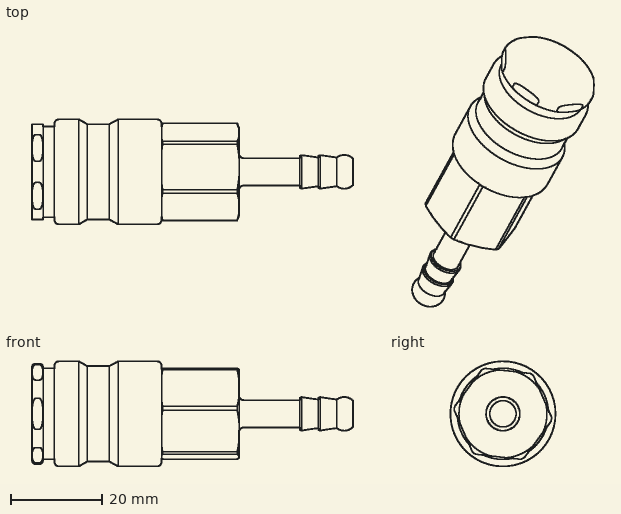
import cadquery as cq
import math

LENGTH = 70.55

FLANGE_DIAMETER = 22.1
FLANGE_THICKNESS = 2.5
FLANGE_FILLET = 0.85
FLANGE_ACROSS_FLATS = 21.0

CORE_DIAMETER = 20.05

SLEEVE_START = 4.95
SLEEVE_END = 28.5
SLEEVE_DIAMETER = 23.15
SLEEVE_FILLET = 1.05
GROOVE_DIAMETER = 21.0
GROOVE_TOP_START = 10.3
GROOVE_FLOOR_START = 12.1
GROOVE_FLOOR_END = 17.0
GROOVE_TOP_END = 19.0

HEX_END = 45.5
HEX_ACROSS_FLATS = 19.0
HEX_CORNER_DIAMETER = 21.45
HEX_TURN = 6.4
HEX_FRONT_FACE_DIAMETER = 20.05
HEX_FRONT_CHAMFER = 0.2
HEX_REAR_FACE_DIAMETER = 19.3
HEX_REAR_CHAMFER = 0.4

STEM_DIAMETER = 6.1
STEM_ROOT_FILLET = 1.0
BARB_STARTS = (58.85, 62.9)
BULB_START = 66.95
BARB_DIAMETER = 7.4
BARB_LIP_DIAMETER = 7.05
BARB_LIP_LENGTH = 0.4
BARB_TAIL_DIAMETER = 6.35
BULB_DIAMETER = 7.5
BULB_TIP_DIAMETER = 5.8


def revolve_about_x(profile):
    """Turn a closed (x, radius) profile about the X axis."""
    return profile.close().revolve(360, (0, 0, 0), (1, 0, 0))


def disc(start, end, diameter):
    """Round disc on the axis between two X positions."""
    return cq.Workplane("YZ").workplane(offset=start).circle(diameter / 2).extrude(end - start)


def hex_prism(start, end, across_flats, turn):
    """Hexagonal prism with a corner on the Y axis, turned about X from +Y towards +Z."""
    across_corners = across_flats / math.cos(math.radians(30))
    prism = cq.Workplane("YZ").workplane(offset=start).polygon(6, across_corners).extrude(end - start)
    return prism.rotate((0, 0, 0), (1, 0, 0), turn)


def make_flange():
    """Filleted disc trimmed by a hexagon with one pair of flats facing +Y and -Y."""
    rim = disc(0, FLANGE_THICKNESS, FLANGE_DIAMETER).edges().fillet(FLANGE_FILLET)
    return rim.intersect(hex_prism(0, FLANGE_THICKNESS, FLANGE_ACROSS_FLATS, 30))


def make_hex_section():
    """Hexagon trimmed by a cylinder with conical ends, which chamfers its corners."""
    envelope = revolve_about_x(
        cq.Workplane("XY")
        .moveTo(SLEEVE_END, 0)
        .lineTo(SLEEVE_END, HEX_FRONT_FACE_DIAMETER / 2)
        .lineTo(SLEEVE_END + HEX_FRONT_CHAMFER, HEX_CORNER_DIAMETER / 2)
        .lineTo(HEX_END - HEX_REAR_CHAMFER, HEX_CORNER_DIAMETER / 2)
        .lineTo(HEX_END, HEX_REAR_FACE_DIAMETER / 2)
        .lineTo(HEX_END, 0)
    )
    return envelope.intersect(hex_prism(SLEEVE_END, HEX_END, HEX_ACROSS_FLATS, -HEX_TURN))


def make_stem():
    """Hose stem with a filleted root, two tapered barbs and a rounded bulb at the tip."""
    stem_radius = STEM_DIAMETER / 2
    barb_ends = BARB_STARTS[1:] + (BULB_START,)
    bulb_crest = (BULB_START + LENGTH) / 2

    profile = (
        cq.Workplane("XY")
        .moveTo(HEX_END, 0)
        .lineTo(HEX_END, stem_radius + STEM_ROOT_FILLET)
        .radiusArc((HEX_END + STEM_ROOT_FILLET, stem_radius), -STEM_ROOT_FILLET)
        .lineTo(BARB_STARTS[0], stem_radius)
    )
    for start, end in zip(BARB_STARTS, barb_ends):
        profile = (
            profile
            .lineTo(start, BARB_LIP_DIAMETER / 2)
            .lineTo(start + BARB_LIP_LENGTH, BARB_DIAMETER / 2)
            .lineTo(end, BARB_TAIL_DIAMETER / 2)
        )
    profile = (
        profile
        .threePointArc((bulb_crest, BULB_DIAMETER / 2), (LENGTH, BULB_TIP_DIAMETER / 2))
        .lineTo(LENGTH, 0)
    )
    return revolve_about_x(profile)


def make_coupling_body():
    """Flange, core, wrench hexagon and hose stem in one piece."""
    core = disc(FLANGE_THICKNESS, SLEEVE_END, CORE_DIAMETER)
    return make_flange().union(core).union(make_hex_section()).union(make_stem())


def make_sleeve():
    """Ring around the core, with rounded ends and a groove between two sloping sides."""
    outer_radius = SLEEVE_DIAMETER / 2
    groove_radius = GROOVE_DIAMETER / 2
    bore_radius = CORE_DIAMETER / 2
    face_radius = outer_radius - SLEEVE_FILLET
    return revolve_about_x(
        cq.Workplane("XY")
        .moveTo(SLEEVE_START, bore_radius)
        .lineTo(SLEEVE_START, face_radius)
        .radiusArc((SLEEVE_START + SLEEVE_FILLET, outer_radius), SLEEVE_FILLET)
        .lineTo(GROOVE_TOP_START, outer_radius)
        .lineTo(GROOVE_FLOOR_START, groove_radius)
        .lineTo(GROOVE_FLOOR_END, groove_radius)
        .lineTo(GROOVE_TOP_END, outer_radius)
        .lineTo(SLEEVE_END - SLEEVE_FILLET, outer_radius)
        .radiusArc((SLEEVE_END, face_radius), SLEEVE_FILLET)
        .lineTo(SLEEVE_END, bore_radius)
    )


coupling_body = make_coupling_body()
sleeve = make_sleeve()

result = cq.Compound.makeCompound([coupling_body.val(), sleeve.val()])